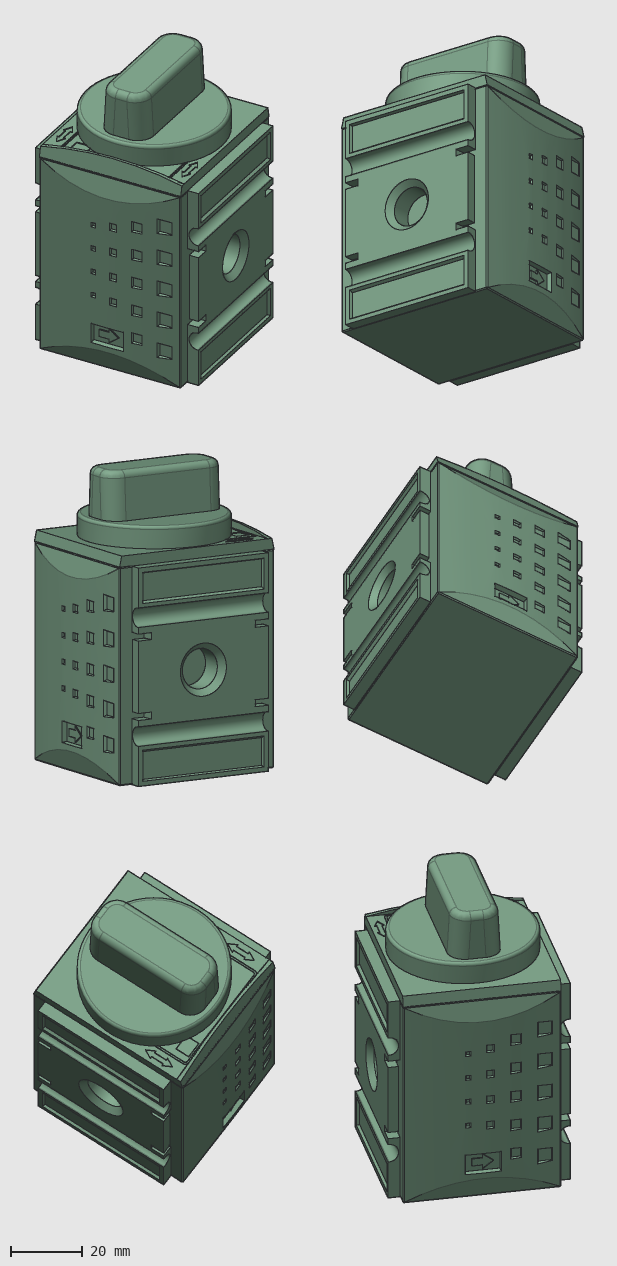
import cadquery as cq
import math


TOTAL_HEIGHT = 85.6
BLOCK_HALF_WIDTH = 22.5
BLOCK_HALF_DEPTH = 25.3
BLOCK_HEIGHT = 62.0
BLOCK_CHAMFER = 0.3
MID_HEIGHT = BLOCK_HEIGHT / 2
CUT_CLEARANCE = 0.85

OVERALL_DEPTH = 54.2
BULGE_Y = OVERALL_DEPTH / 2
BULGE_HALF_WIDTH = BLOCK_HALF_WIDTH - BLOCK_CHAMFER
BULGE_RISE = BULGE_Y - BLOCK_HALF_DEPTH
BULGE_SLOPE = math.tan(math.radians(16.5))
BULGE_RADIUS = (BULGE_HALF_WIDTH**2 + BULGE_RISE**2) / (2 * BULGE_RISE)

COVER_TOP = 65.1
COVER_SLOPE = math.tan(math.radians(13))
LIP_TOP = 67.4
LIP_REAR_Y = -23.3

OVERALL_WIDTH = 52.0
FLANGE_X = OVERALL_WIDTH / 2
FLANGE_HALF_DEPTH = 21.3
GROOVE_RADIUS = 2.7
GROOVE_BOTTOM_X = 22.9
GROOVE_OFFSET = 16.9
LABEL_HALF_LENGTH = 19.9
LABEL_NEAR = 20.8
LABEL_FAR = 29.6
LABEL_DEPTH = 0.85
LABEL_DRAFT = 0.3
LABEL_NEAR_DRAFT = 0.6
PORT_DIAMETER = 11.5
PORT_MOUTH_DIAMETER = 15.1
PORT_MOUTH_DEPTH = 1.9
PORT_DEPTH = 8.1
NOTCH_INNER = 10.3
NOTCH_OUTER = 12.2
NOTCH_END_Y = 17.4
NOTCH_MOUTH_Y = 17.0
UNDERCUT_X = 23.0

DIMPLE_COLUMNS = [
    (-4.4, 1.45, 7.5, 4, -1),
    (2.0, 2.3, 8.05, 4, -1),
    (9.4, 3.25, 9.0, 5, -2),
    (17.9, 4.4, 10.0, 5, -2),
]
DIMPLE_DEPTH = 0.5
DIMPLE_DRAFT = 30.0
POCKET_LENGTH = 10.4
POCKET_HEIGHT = 6.2
POCKET_Z = 11.0
POCKET_DEPTH = 1.5
POCKET_DRAFT = 8.0
SYMBOL_HEIGHT = 0.4
SYMBOL_HALF_LENGTH = 3.1
SYMBOL_HEAD_HALF = 2.3
SYMBOL_SHAFT_HALF = 1.1

MARK_DEPTH = 0.25
GUIDE_HALF_WIDTH = 17.5
GUIDE_FRONT_Y = -23.1
GUIDE_REAR_Y = -12.0
GUIDE_GROOVE = 0.6
GUIDE_CORNER = 1.3
BADGE_CENTER = (-12.3, -19.9)
BADGE_SIZE = (5.0, 4.3)
ARROW_X = 19.95
ARROW_Y = -15.5
ARROW_HALF_LENGTH = 4.5
ARROW_HEAD_LENGTH = 2.6
ARROW_HEAD_HALF = 1.4
ARROW_SHAFT_HALF = 0.73

DISC_DIAMETER = 43.0
DISC_TOP = 71.6
DISC_ROUND = 0.9
GRIP_HALF_BASE = 7.5
GRIP_HALF_TOP = 6.8
GRIP_LENGTH = 37.9
GRIP_CORNER = 5.05
GRIP_ROUND = 2.05


def box(x_range, y_range, z_range):
    """Box between pairs of coordinates."""
    size = [high - low for low, high in (x_range, y_range, z_range)]
    corner = (x_range[0], y_range[0], z_range[0])
    return cq.Workplane("XY").box(*size, centered=False).translate(corner)


def turned(shape):
    """Copy turned half a turn about the Z axis."""
    return shape.rotate((0, 0, 0), (0, 0, 1), 180)


def bulge():
    """Front face bulge: a shallow cylinder cut off by a slope at its top and bottom."""
    z_low = BLOCK_CHAMFER
    z_high = BLOCK_HEIGHT - BLOCK_CHAMFER
    barrel = (
        cq.Workplane("XY", origin=(0, 0, z_low))
        .moveTo(-BULGE_HALF_WIDTH, -BLOCK_HALF_DEPTH)
        .threePointArc((0, -BULGE_Y), (BULGE_HALF_WIDTH, -BLOCK_HALF_DEPTH))
        .lineTo(BULGE_HALF_WIDTH, 0)
        .lineTo(-BULGE_HALF_WIDTH, 0)
        .close()
        .extrude(z_high - z_low)
    )
    slope_height = (BULGE_RISE + CUT_CLEARANCE) / BULGE_SLOPE
    slopes = (
        cq.Workplane("YZ")
        .polyline([
            (0, z_low),
            (-BLOCK_HALF_DEPTH, z_low),
            (-BULGE_Y - CUT_CLEARANCE, z_low + slope_height),
            (-BULGE_Y - CUT_CLEARANCE, z_high - slope_height),
            (-BLOCK_HALF_DEPTH, z_high),
            (0, z_high),
        ])
        .close()
        .extrude(BLOCK_HALF_WIDTH, both=True)
    )
    return barrel.intersect(slopes)


def sloped_prism(height):
    """Prism above the block whose front and rear faces lean inwards."""
    top_half_depth = BLOCK_HALF_DEPTH - height * COVER_SLOPE
    return (
        cq.Workplane("YZ", origin=(0, 0, BLOCK_HEIGHT))
        .polyline([
            (-BLOCK_HALF_DEPTH, 0),
            (BLOCK_HALF_DEPTH, 0),
            (top_half_depth, height),
            (-top_half_depth, height),
        ])
        .close()
        .extrude(BLOCK_HALF_WIDTH, both=True)
    )


def lip():
    """Thin arched lip standing along the front edge of the cover."""
    arch = (
        cq.Workplane("XZ", origin=(0, LIP_REAR_Y, 0))
        .moveTo(-BLOCK_HALF_WIDTH, BLOCK_HEIGHT)
        .lineTo(-BLOCK_HALF_WIDTH, COVER_TOP)
        .threePointArc((0, LIP_TOP), (BLOCK_HALF_WIDTH, COVER_TOP))
        .lineTo(BLOCK_HALF_WIDTH, BLOCK_HEIGHT)
        .close()
        .extrude(BLOCK_HALF_DEPTH + LIP_REAR_Y)
    )
    return arch.intersect(sloped_prism(LIP_TOP - BLOCK_HEIGHT))


def flange_groove():
    """Round-bottomed groove along the left flange, at mid height."""
    center_x = -(GROOVE_BOTTOM_X + GROOVE_RADIUS)
    round_bottom = cq.Workplane("XZ").center(center_x, MID_HEIGHT).circle(GROOVE_RADIUS)
    mouth = box(
        (-FLANGE_X - CUT_CLEARANCE, center_x),
        (-FLANGE_HALF_DEPTH, FLANGE_HALF_DEPTH),
        (MID_HEIGHT - GROOVE_RADIUS, MID_HEIGHT + GROOVE_RADIUS),
    )
    return round_bottom.extrude(FLANGE_HALF_DEPTH, both=True).union(mouth)


def label_recess():
    """Drafted rectangular recess in the upper part of the left flange."""
    near_z = MID_HEIGHT + LABEL_NEAR
    far_z = MID_HEIGHT + LABEL_FAR
    floor_near_z = near_z + LABEL_NEAR_DRAFT
    floor_far_z = far_z - LABEL_DRAFT
    return (
        cq.Workplane("YZ", origin=(-FLANGE_X, 0, (near_z + far_z) / 2))
        .rect(2 * LABEL_HALF_LENGTH, far_z - near_z)
        .workplane(offset=LABEL_DEPTH)
        .center(0, (floor_near_z + floor_far_z - near_z - far_z) / 2)
        .rect(2 * (LABEL_HALF_LENGTH - LABEL_DRAFT), floor_far_z - floor_near_z)
        .loft(ruled=True)
    )


def clamp_notches():
    """Cutter at the front edge of the left flange: two notches and the undercut that joins them."""
    height = 2 * NOTCH_OUTER
    notches = (
        cq.Workplane("XY", origin=(0, 0, MID_HEIGHT - NOTCH_OUTER))
        .polyline([
            (-FLANGE_X, -NOTCH_MOUTH_Y),
            (-BLOCK_HALF_WIDTH, -NOTCH_END_Y),
            (-BLOCK_HALF_WIDTH, -FLANGE_HALF_DEPTH),
            (-FLANGE_X, -FLANGE_HALF_DEPTH),
        ])
        .close()
        .extrude(height)
    )
    pad = box(
        (-FLANGE_X, -UNDERCUT_X),
        (-FLANGE_HALF_DEPTH, 0),
        (MID_HEIGHT - NOTCH_INNER, MID_HEIGHT + NOTCH_INNER),
    )
    return notches.cut(pad)


def port():
    """Blind port with a conical mouth, entering from the left flange."""
    bore = (
        cq.Workplane("YZ", origin=(-FLANGE_X, 0, MID_HEIGHT))
        .circle(PORT_DIAMETER / 2)
        .extrude(PORT_DEPTH)
    )
    mouth = (
        cq.Workplane("YZ", origin=(-FLANGE_X, 0, MID_HEIGHT))
        .circle(PORT_MOUTH_DIAMETER / 2)
        .workplane(offset=PORT_MOUTH_DEPTH)
        .circle(PORT_DIAMETER / 2)
        .loft()
    )
    return bore.union(mouth)


def flange():
    """Left connection flange with its grooves, label recesses and notches, but without the port."""
    plate = box(
        (-FLANGE_X, -BLOCK_HALF_WIDTH),
        (-FLANGE_HALF_DEPTH, FLANGE_HALF_DEPTH),
        (0, BLOCK_HEIGHT),
    )
    for offset in (-GROOVE_OFFSET, GROOVE_OFFSET):
        plate = plate.cut(flange_groove().translate((0, 0, offset)))
    upper_label = label_recess()
    lower_label = upper_label.mirror("XY", (0, 0, MID_HEIGHT))
    front_notches = clamp_notches()
    rear_notches = front_notches.mirror("XZ")
    return plate.cut(upper_label).cut(lower_label).cut(front_notches).cut(rear_notches)


def bulge_drop(x):
    """Distance of the bulged face behind its crest at a given X."""
    return BULGE_RADIUS - math.sqrt(BULGE_RADIUS**2 - x**2)


def dimples():
    """Cutters for the columns of drafted square dimples in the front face."""
    cutters = []
    for x, size, pitch, count, lowest in DIMPLE_COLUMNS:
        drop = bulge_drop(x)
        crest_size = size + 2 * drop * math.tan(math.radians(DIMPLE_DRAFT))
        points = [(x, MID_HEIGHT + (lowest + step) * pitch) for step in range(count)]
        column = (
            cq.Workplane("XZ", origin=(0, -BULGE_Y, 0))
            .pushPoints(points)
            .rect(crest_size, crest_size)
            .extrude(-(drop + DIMPLE_DEPTH), taper=DIMPLE_DRAFT)
        )
        cutters.append(column)
    return cutters


def symbol_pocket():
    """Cutter for the rectangular pocket that leaves a raised flow arrow on its floor."""
    pocket = (
        cq.Workplane("XZ", origin=(0, -BULGE_Y, POCKET_Z))
        .rect(POCKET_LENGTH, POCKET_HEIGHT)
        .extrude(-POCKET_DEPTH, taper=POCKET_DRAFT)
    )
    arrow = (
        cq.Workplane("XZ", origin=(0, -BULGE_Y + POCKET_DEPTH, POCKET_Z))
        .polyline([
            (-SYMBOL_HALF_LENGTH, -SYMBOL_SHAFT_HALF),
            (0, -SYMBOL_SHAFT_HALF),
            (0, -SYMBOL_HEAD_HALF),
            (SYMBOL_HALF_LENGTH, 0),
            (0, SYMBOL_HEAD_HALF),
            (0, SYMBOL_SHAFT_HALF),
            (-SYMBOL_HALF_LENGTH, SYMBOL_SHAFT_HALF),
        ])
        .close()
        .extrude(SYMBOL_HEIGHT)
    )
    return pocket.cut(arrow)


def guide_groove():
    """Groove around the slider plate, running from beneath the knob along the front of the cover."""
    floor_z = COVER_TOP - MARK_DEPTH
    outer = box(
        (-GUIDE_HALF_WIDTH, GUIDE_HALF_WIDTH),
        (GUIDE_FRONT_Y, GUIDE_REAR_Y),
        (floor_z, COVER_TOP),
    )
    outer = outer.edges("|Z and <Y").fillet(GUIDE_CORNER)
    inner_half_width = GUIDE_HALF_WIDTH - GUIDE_GROOVE
    inner = box(
        (-inner_half_width, inner_half_width),
        (GUIDE_FRONT_Y + GUIDE_GROOVE, GUIDE_REAR_Y),
        (floor_z, COVER_TOP),
    )
    inner = inner.edges("|Z and <Y").fillet(GUIDE_CORNER - GUIDE_GROOVE)
    return outer.cut(inner)


def badge_recess():
    """Shallow rectangular recess in the slider plate."""
    return (
        cq.Workplane("XY", origin=(0, 0, COVER_TOP))
        .center(*BADGE_CENTER)
        .rect(*BADGE_SIZE)
        .extrude(-MARK_DEPTH)
    )


def double_arrow(x):
    """Engraved double-headed arrow along Y on the cover."""
    neck = ARROW_HALF_LENGTH - ARROW_HEAD_LENGTH
    right_side = [
        (ARROW_HEAD_HALF, neck),
        (ARROW_SHAFT_HALF, neck),
        (ARROW_SHAFT_HALF, -neck),
        (ARROW_HEAD_HALF, -neck),
    ]
    left_side = [(-px, -py) for px, py in right_side]
    return (
        cq.Workplane("XY", origin=(x, ARROW_Y, COVER_TOP))
        .polyline([(0, ARROW_HALF_LENGTH), *right_side, (0, -ARROW_HALF_LENGTH), *left_side])
        .close()
        .extrude(-MARK_DEPTH)
    )


def make_housing():
    block = box(
        (-BLOCK_HALF_WIDTH, BLOCK_HALF_WIDTH),
        (-BLOCK_HALF_DEPTH, BLOCK_HALF_DEPTH),
        (0, BLOCK_HEIGHT),
    ).edges().chamfer(BLOCK_CHAMFER)
    body = block.union(sloped_prism(COVER_TOP - BLOCK_HEIGHT)).union(lip())

    for added in (bulge(), flange()):
        body = body.union(added).union(turned(added))
    for cutter in (port(), symbol_pocket(), *dimples()):
        body = body.cut(cutter).cut(turned(cutter))

    for marking in (guide_groove(), badge_recess(), double_arrow(-ARROW_X), double_arrow(ARROW_X)):
        body = body.cut(marking)
    return body


def make_knob():
    disc = (
        cq.Workplane("XY", origin=(0, 0, COVER_TOP))
        .circle(DISC_DIAMETER / 2)
        .extrude(DISC_TOP - COVER_TOP)
        .faces(">Z")
        .edges()
        .fillet(DISC_ROUND)
    )
    grip = (
        cq.Workplane("XZ")
        .polyline([
            (-GRIP_HALF_BASE, DISC_TOP),
            (GRIP_HALF_BASE, DISC_TOP),
            (GRIP_HALF_TOP, TOTAL_HEIGHT),
            (-GRIP_HALF_TOP, TOTAL_HEIGHT),
        ])
        .close()
        .extrude(GRIP_LENGTH / 2, both=True)
    )
    grip = grip.edges("not(#Z)").fillet(GRIP_CORNER)
    grip = grip.faces(">Z").edges().fillet(GRIP_ROUND)
    return disc.union(grip)


housing = make_housing()
knob = make_knob()

result = cq.Compound.makeCompound([housing.solids().val(), knob.solids().val()])